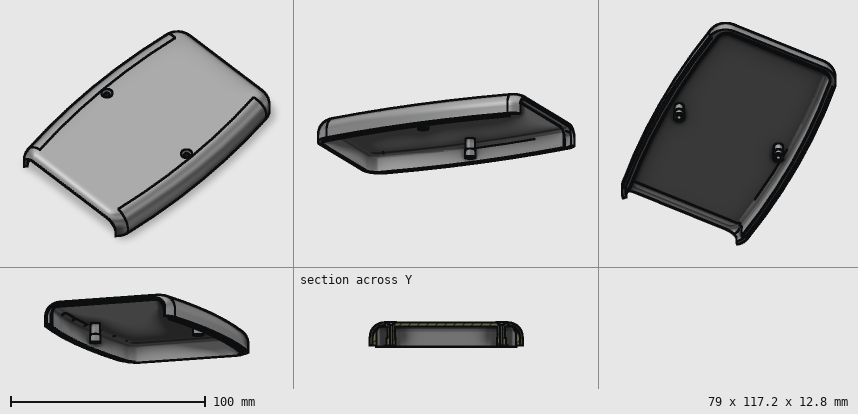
import cadquery as cq
import math


LENGTH = 117.2
HALF_LENGTH = 59.9
HALF_WIDTH = 39.5
HEIGHT = 12.1
SIDE_RADIUS = 355.2
CORNER_RADIUS = 10.0
TOP_ROUND = 8.0
OPEN_END_Y = HALF_LENGTH - LENGTH

END_WALL = 2.5
SIDE_WALL = 3.8
CEILING = 2.3
CAVITY_CORNER_RADIUS = 5.3
CAVITY_ROUND = 2.7

THIN_WALL = 2.0
STEP_Y = -51.2
OPENING_DEPTH = 2.3

LIP_HEIGHT = 0.7
LIP_SIDE_INSET = 3.3
LIP_END_INSET = 1.6
LIP_CORNER_RADIUS = 6.5

BOSS_X = 28.4
BOSS_RADIUS = 2.7
BOSS_NECK_RADIUS = 2.5
BOSS_STEP_Z = 4.0
SCREW_HOLE_RADIUS = 1.4
COUNTERSINK_RADIUS = 2.8
COUNTERSINK_DEPTH = COUNTERSINK_RADIUS - SCREW_HOLE_RADIUS

GRIP_THICKNESS = 1.4

MARGIN = 5.9


def corner_arc(half_length, half_width, side_radius, radius):
    """Centre of the +X +Y corner arc, and the direction in which it meets the side arc."""
    side_center_x = half_width - side_radius
    center_y = half_length - radius
    reach_x = math.sqrt((side_radius - radius) ** 2 - center_y ** 2)
    return side_center_x + reach_x, center_y, math.atan2(center_y, reach_x)


def bulged_block(side_inset, end_inset, corner_radius, bottom, top, top_round=0):
    """Block with bulging sides and straight ends, inset from the outer outline."""
    half_length = HALF_LENGTH - end_inset
    half_width = HALF_WIDTH - side_inset
    side_radius = SIDE_RADIUS - side_inset
    center_x, center_y, meeting = corner_arc(half_length, half_width, side_radius, corner_radius)

    def on_corner(angle):
        return center_x + corner_radius * math.cos(angle), center_y + corner_radius * math.sin(angle)

    side_x, side_y = on_corner(meeting)
    middle_x, middle_y = on_corner((meeting + math.pi / 2) / 2)
    block = (
        cq.Workplane("XY", origin=(0, 0, bottom))
        .moveTo(-center_x, half_length)
        .lineTo(center_x, half_length)
        .threePointArc((middle_x, middle_y), (side_x, side_y))
        .threePointArc((half_width, 0), (side_x, -side_y))
        .threePointArc((middle_x, -middle_y), (center_x, -half_length))
        .lineTo(-center_x, -half_length)
        .threePointArc((-middle_x, -middle_y), (-side_x, -side_y))
        .threePointArc((-half_width, 0), (-side_x, side_y))
        .threePointArc((-middle_x, middle_y), (-center_x, half_length))
        .close()
        .extrude(top - bottom)
    )
    if top_round:
        block = block.faces(">Z").edges().fillet(top_round)
    return block


def inset_outer_block(inset, bottom):
    """The outer block with its walls, top face and rounds all moved inward by the same amount."""
    return bulged_block(
        inset, inset, CORNER_RADIUS - inset, bottom, HEIGHT - inset, TOP_ROUND - inset
    )


def half_space(end_y):
    """Block that holds every part of the case on the -Y side of end_y."""
    size = 2 * LENGTH
    return cq.Workplane("XY").box(size, size, size).translate((0, end_y - size / 2, 0))


def outer_body(bottom):
    return inset_outer_block(0, bottom).cut(half_space(OPEN_END_Y))


def lip():
    block = bulged_block(
        LIP_SIDE_INSET, LIP_END_INSET, LIP_CORNER_RADIUS, -LIP_HEIGHT, LIP_HEIGHT
    )
    return block.cut(half_space(STEP_Y))


def cavity():
    return bulged_block(
        SIDE_WALL, END_WALL, CAVITY_CORNER_RADIUS, -MARGIN, HEIGHT - CEILING, CAVITY_ROUND
    )


def open_end_pocket():
    """Hollow behind the open end, where the walls are thin."""
    return inset_outer_block(THIN_WALL, -MARGIN).intersect(half_space(STEP_Y))


def open_end_funnel():
    """Loft from the outline of the open end to a smaller copy of it further in.

    The outline reaches far below the rim, so that shrinking it about its lowest middle point
    bevels the top and the sides about equally.
    """
    bottom = HEIGHT - HALF_WIDTH
    outline = outer_body(bottom).faces("<Y").wires().val()
    shrink = 1 - OPENING_DEPTH / HALF_WIDTH
    inner_outline = outline.translate(cq.Vector(0, -OPEN_END_Y, -bottom)).scale(shrink)
    inner_outline = inner_outline.translate(cq.Vector(0, OPEN_END_Y + OPENING_DEPTH, bottom))
    return cq.Workplane(cq.Solid.makeLoft([outline, inner_outline], True))


def boss(x):
    """Stepped post from the ceiling down to the rim."""
    post = cq.Workplane("XY").center(x, 0).circle(BOSS_RADIUS).extrude(BOSS_STEP_Z)
    return post.faces(">Z").workplane().circle(BOSS_NECK_RADIUS).extrude(
        HEIGHT - CEILING / 2 - BOSS_STEP_Z
    )


def screw_hole(x):
    """Through hole, countersunk from the top face."""
    hole = cq.Workplane("XY").center(x, 0).circle(SCREW_HOLE_RADIUS).extrude(HEIGHT)
    countersink = cq.Solid.makeCone(
        SCREW_HOLE_RADIUS,
        COUNTERSINK_RADIUS,
        COUNTERSINK_DEPTH,
        cq.Vector(x, 0, HEIGHT - COUNTERSINK_DEPTH),
    )
    return hole.union(cq.Workplane(countersink))


def make_grip(side):
    """Soft layer over one bulging side (+1 or -1), from the rim to the edge of the top face."""
    core = inset_outer_block(GRIP_THICKNESS, -MARGIN)
    below_top_face = bulged_block(
        TOP_ROUND, TOP_ROUND, CORNER_RADIUS - TOP_ROUND, -MARGIN, HEIGHT + MARGIN
    )
    meeting = corner_arc(HALF_LENGTH, HALF_WIDTH, SIDE_RADIUS, CORNER_RADIUS)[2]
    side_center_x = HALF_WIDTH - SIDE_RADIUS
    far_x = HALF_WIDTH + MARGIN
    half_length_at_middle = -side_center_x * math.tan(meeting)
    half_length_at_far = (far_x - side_center_x) * math.tan(meeting)
    side_zone = (
        cq.Workplane("XY")
        .moveTo(0, -half_length_at_middle)
        .lineTo(far_x, -half_length_at_far)
        .lineTo(far_x, half_length_at_far)
        .lineTo(0, half_length_at_middle)
        .close()
        .extrude(HEIGHT)
    )
    grip = outer_body(0).intersect(side_zone).cut(core).cut(below_top_face)
    return grip if side > 0 else grip.mirror("YZ")


def make_shell(grips):
    shell = outer_body(0).union(lip())
    shell = shell.cut(cavity()).cut(open_end_pocket()).cut(open_end_funnel())
    for x in (-BOSS_X, BOSS_X):
        shell = shell.union(boss(x)).cut(screw_hole(x))
    for grip in grips:
        shell = shell.cut(grip)
    return shell


grips = [make_grip(side) for side in (-1, 1)]
shell = make_shell(grips)
result = cq.Compound.makeCompound([shell.val(), *[grip.val() for grip in grips]])